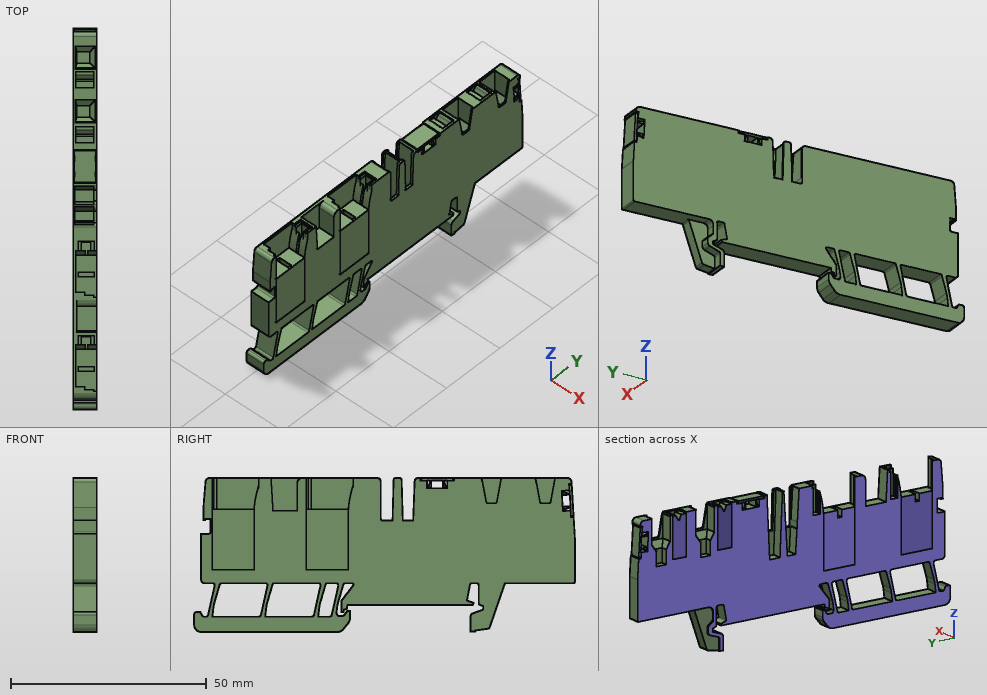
import cadquery as cq
import math


WIDTH = 6.05
HEIGHT = 39.45
BODY_BOTTOM = 12.5
SEAT_BOTTOM = 6.92
WALL = 0.6
REAR_END = 48.59
REAR_TOP = 47.68
REAR_BEND = 24.0
FRONT_END = -47.0
FOOT_END = -48.79
OVERLAP = 0.3
CORNER = 1.0
END_CORNER = 1.15

SLOT_FLOOR = 28.55
SHAFT_FLOOR = 22.0
SHAFT_X = (0.45, 5.3)
SHAFTS = (((8.25, 3.6), (7.4, 4.35)), ((3.0, -1.6), (1.9, -0.5)))
SLOT_1 = (7.2, 4.6)
SLOT_2 = (1.93, -1.04)
POST_TOP = (4.3, 2.2)
POST_ROUND = 0.65
SLOT_1_TOP = 7.6

BEAM_TOP = 4.0
BEAM_REAR = -8.88
FIN_TOPS = (-10.5, -15.05, -28.6, -42.1)
FIN_TOP_WIDTH = 1.3
FIN_LOW_WIDTH = 1.2
FIN_LEAN = 2.0
FIN_ROUND = 0.5
FIN_WAIST = (1.6, 7.0, 8.0)

WEB_X = 2.8

WIRE_ENTRY_STARTS = (44.1, 30.35)
ENTRY_LENGTH = 5.6
ENTRY_X = (0.55, 5.65)
ENTRY_FLOOR_X = (0.95, 4.3)
ENTRY_FLOOR_INSET = (1.5, 1.2)
ENTRY_SHAFT_DEPTH = 7.0
ENTRY_FUNNEL_DEPTH = 2.0
ENTRY_HOLE_DEPTH = 4.0
ENTRY_LIP = (0.3, 1.0, 1.6)
ENTRY_NOTCH_X = 5.15
ENTRY_NOTCH_DEPTH = 6.5
ENTRY_NOTCH_ROUND = 0.5
ENTRY_NOTCH_START = 0.6
ENTRY_NOTCH_DRAFT = 1.2

BUTTON_STARTS = (37.55, 23.5)
BUTTON_LENGTH = 4.1
BUTTON_X = (0.6, 5.28)
BUTTON_HEIGHT = 12.0
BUTTON_SUNK = 0.4
GROOVE_START = 0.85
GROOVE_FOOT = 1.9
GROOVE_END = 2.5
GROOVE_DEPTH = 1.6
GROOVE_ROUND = 0.3

LEVER_STARTS = (-9.35, -33.45)
LEVER_LENGTH = 9.5
LEVER_TOP = HEIGHT - 8.0
LEVER_BOTTOM = 16.0
LEVER_STEP_X = (2.93, 5.3)
LEVER_STEP_Y = (0.8, 1.2)
LEVER_SLIT_X = (1.35, 5.4)
LEVER_SLIT_OFFSET = 4.35
LEVER_SLIT_WIDTH = 1.15
LEVER_SLIT_DEPTH = 2.0

RAMP_LENGTH = 1.2
RAMP_TOP = HEIGHT - 2.0
RAMP_BULGE = 0.42
KEYWAY_LENGTH = 2.35
KEYWAY_X = (1.35, 5.4)
KEYWAY_FLOOR_X = (2.05, 4.55)
KEYWAY_SLIT_X = (3.1, 3.75)
KEYWAY_LEDGE = 0.7
KEYWAY_LEDGE_WIDTH = 0.3

BAY = (-21.0, -29.1)
BAY_WALL = 0.95
BAY_FLOOR = 31.0
BAY_ROUND = 1.4
BAY_DRAFT = 0.5

MARKER_LENGTH = 8.5
MARKER_THICKNESS = 0.7
MARKER_CLEARANCE = 0.25
MARKER_X = (0.3, 5.75)
MARKER_TOP_CENTRE = 13.35
MARKER_END_CENTRE = 33.7
WINDOW_LENGTH = 5.1
WINDOW_DEPTH = 2.65
LEG_INSIDE = 1.45
LEG_THICKNESS = 0.45
LEG_BARB = 0.85
LEG_LENGTH = 1.8
END_TILT = math.degrees(math.atan2(REAR_END - REAR_TOP, HEIGHT - REAR_BEND))


def rounded_outline(points):
    """Closed YZ outline through (y, z) or (y, z, radius) points; corners with a radius become arcs."""
    entries = []
    for i, point in enumerate(points):
        corner = cq.Vector(*point[:2])
        if len(point) == 2:
            entries.append((corner, None, corner))
            continue
        back = (cq.Vector(*points[i - 1][:2]) - corner).normalized()
        ahead = (cq.Vector(*points[(i + 1) % len(points)][:2]) - corner).normalized()
        half_angle = back.getAngle(ahead) / 2
        reach = point[2] / math.tan(half_angle)
        to_arc = point[2] / math.sin(half_angle) - point[2]
        middle = corner + (back + ahead).normalized() * to_arc
        entries.append((corner + back * reach, middle, corner + ahead * reach))
    outline = cq.Workplane("YZ").moveTo(*entries[0][2].toTuple()[:2])
    for start, middle, end in entries[1:] + entries[:1]:
        outline = outline.lineTo(start.x, start.y)
        if middle is not None:
            outline = outline.threePointArc(middle.toTuple()[:2], end.toTuple()[:2])
    return outline.close()


def plate(points, x_from=0.0, x_to=WIDTH):
    """A YZ outline extruded from x_from to x_to."""
    return rounded_outline(points).extrude(x_to - x_from).translate((x_from, 0, 0))


def block(x_range, y_range, z_range):
    """A box between pairs of limits, given in any order."""
    lows = [min(r) for r in (x_range, y_range, z_range)]
    sizes = [abs(r[1] - r[0]) for r in (x_range, y_range, z_range)]
    return cq.Workplane("XY").box(*sizes, centered=False).translate(tuple(lows))


def place_top_marker(shape):
    return shape.translate((0, MARKER_TOP_CENTRE, HEIGHT))


def place_end_marker(shape):
    """Turn a shape from lying on the top to lying on the slanted +Y end face."""
    slope = (REAR_END - REAR_TOP) / (HEIGHT - REAR_BEND)
    face_y = REAR_END - (MARKER_END_CENTRE - REAR_BEND) * slope
    turned = shape.rotate((0, 0, 0), (1, 0, 0), END_TILT - 90)
    return turned.translate((0, face_y, MARKER_END_CENTRE))


def main_body():
    return plate([
        (REAR_END, BODY_BOTTOM, 0.4), (REAR_END, REAR_BEND), (REAR_TOP, HEIGHT, END_CORNER),
        (SLOT_1_TOP, HEIGHT, CORNER), (SLOT_1[0], SLOT_FLOOR), (SLOT_1[1], SLOT_FLOOR),
        (POST_TOP[0], HEIGHT, POST_ROUND), (POST_TOP[1], HEIGHT, POST_ROUND),
        (SLOT_2[0], SLOT_FLOOR), (SLOT_2[1], SLOT_FLOOR, 0.5), (SLOT_2[1], HEIGHT, CORNER),
        (-45.8, HEIGHT, END_CORNER), (-46.4, 31.95), (-46.4, 28.6), (-45.85, 28.6), (-45.85, 28.9),
        (-44.6, 28.9), (-44.6, 25.15, 0.5), (FRONT_END, 25.15), (FRONT_END, BODY_BOTTOM, 0.9),
        (-7.7, BODY_BOTTOM, 0.35), (-11.15, 8.0, 0.5), (-11.15, 5.1), (-10.5, 5.1), (-10.5, 5.75),
        (-9.7, 5.9), (-9.55, SEAT_BOTTOM), (22.46, SEAT_BOTTOM), (22.7, 7.5), (21.0, 8.1, 0.2),
        (21.85, BODY_BOTTOM, 0.5),
    ])


def spring_foot():
    """S-shaped strip that snaps behind the rail, stiffened by a web towards the +X side."""
    root = BODY_BOTTOM + OVERLAP
    strip = plate([
        (23.0, root), (23.0, BODY_BOTTOM), (23.94, BODY_BOTTOM, 0.5), (23.94, 7.1, 0.4),
        (25.13, 6.6, 0.3), (25.13, 5.8, 0.3), (21.83, 4.6, 1.1), (21.83, 0.15), (23.1, 0.15),
        (23.1, 3.9, 0.4), (26.7, 5.2, 1.0), (26.7, 7.4, 0.5), (25.05, 8.7, 0.5),
        (25.05, BODY_BOTTOM, 1.4), (28.0, BODY_BOTTOM), (28.0, root),
    ])
    web = plate([
        (31.3, root), (31.3, BODY_BOTTOM), (30.7, BODY_BOTTOM, 0.4), (26.7, 0.9, 0.8), (22.5, 0.3),
        (22.5, 4.4), (26.0, 5.6), (26.0, 7.0), (24.5, 8.5), (24.5, root),
    ], WEB_X)
    return strip.union(web)


def beam():
    return plate([
        (BEAM_REAR, 5.46), (-9.62, 5.46), (-10.5, 4.2, 0.3), (-12.0, 4.2, 0.3), (-12.6, 5.3),
        (-13.2, 5.3), (-13.5, BEAM_TOP), (-45.1, BEAM_TOP), (-45.9, 3.7, 0.3), (-46.6, 4.1, 0.3),
        (-47.2, 5.2, 0.3), (FOOT_END, 5.2, 0.7), (FOOT_END, 0.0, 1.95), (-11.2, 0.0, 2.2),
        (BEAM_REAR, 2.9, 2.2),
    ])


def fin(top):
    """One slanted fin; top is the Y of its +Y face at the underside of the body."""
    root = BODY_BOTTOM + OVERLAP
    front = top - FIN_TOP_WIDTH
    flare = FIN_ROUND * 2
    low = top - FIN_LEAN
    foot = BEAM_TOP - OVERLAP
    waist_back, waist_height, waist_radius = FIN_WAIST
    low_front = low - FIN_LOW_WIDTH
    low_flare = low_front - FIN_ROUND * 2
    return plate([
        (top + flare, root), (top + flare, BODY_BOTTOM), (top, BODY_BOTTOM, FIN_ROUND),
        (top - waist_back, waist_height, waist_radius), (low, foot),
        (low_flare, foot), (low_flare, BEAM_TOP), (low_front, BEAM_TOP, FIN_ROUND),
        (front, BODY_BOTTOM, FIN_ROUND),
        (front - flare, BODY_BOTTOM), (front - flare, root),
    ])


def jumper_shaft(top_sides, floor_sides):
    """Tapered shaft that widens and deepens a jumper slot between its side walls."""
    return plate([
        (top_sides[0], HEIGHT), (floor_sides[0], SHAFT_FLOOR),
        (floor_sides[1], SHAFT_FLOOR), (top_sides[1], HEIGHT),
    ], *SHAFT_X)


def wire_entry(start):
    """Shaft and funnel down to a hole, with a drafted notch in the +X wall and a sloped lip."""
    end = start - ENTRY_LENGTH
    floor_start = start - ENTRY_FLOOR_INSET[0]
    floor_end = end + ENTRY_FLOOR_INSET[1]

    def rectangle(x_range, y_start, y_end, height):
        return cq.Wire.makePolygon([
            cq.Vector(x_range[0], y_start, height), cq.Vector(x_range[1], y_start, height),
            cq.Vector(x_range[1], y_end, height), cq.Vector(x_range[0], y_end, height),
        ], close=True)

    funnel_top = HEIGHT - ENTRY_SHAFT_DEPTH
    funnel_bottom = funnel_top - ENTRY_FUNNEL_DEPTH
    shaft = block(ENTRY_X, (start, end), (funnel_top, HEIGHT))
    mouth = rectangle(ENTRY_X, start, end, funnel_top)
    throat = rectangle(ENTRY_FLOOR_X, floor_start, floor_end, funnel_bottom)
    funnel = cq.Workplane(cq.Solid.makeLoft([mouth, throat], True))
    hole_z = (funnel_bottom - ENTRY_HOLE_DEPTH, funnel_bottom)
    hole = block(ENTRY_FLOOR_X, (floor_start, floor_end), hole_z)
    notch_start = start - ENTRY_NOTCH_START
    notch_floor = HEIGHT - ENTRY_NOTCH_DEPTH
    notch = plate([
        (notch_start, HEIGHT), (end, HEIGHT), (end + ENTRY_NOTCH_DRAFT, notch_floor, ENTRY_NOTCH_ROUND),
        (notch_start - ENTRY_NOTCH_DRAFT, notch_floor, ENTRY_NOTCH_ROUND),
    ], ENTRY_NOTCH_X)
    lip_out, lip_in, lip_drop = ENTRY_LIP
    lip = plate([
        (end - lip_out, HEIGHT), (end + lip_in, HEIGHT), (end + lip_in, HEIGHT - lip_drop),
    ], ENTRY_X[0])
    return shaft.union(funnel).union(hole).union(notch).union(lip)


def button_shaft(start):
    return block(BUTTON_X, (start, start - BUTTON_LENGTH), (HEIGHT - BUTTON_HEIGHT, HEIGHT))


def lever_footprint(start):
    """Plan outline of a lever, with the stepped -Y end."""
    end = start - LEVER_LENGTH
    return cq.Workplane("XY").polyline([
        (WALL, start), (WIDTH, start), (WIDTH, end - LEVER_STEP_Y[1]),
        (LEVER_STEP_X[1], end - LEVER_STEP_Y[1]), (LEVER_STEP_X[1], end - LEVER_STEP_Y[0]),
        (LEVER_STEP_X[0], end - LEVER_STEP_Y[0]), (LEVER_STEP_X[0], end), (WALL, end),
    ]).close()


def lever_pocket(start):
    """Pocket for a lever, open at the top and at +X, with a ramp and a stepped keyway at its +Y end."""
    pocket = lever_footprint(start).extrude(HEIGHT - LEVER_BOTTOM).translate((0, 0, LEVER_BOTTOM))
    ramp_start = start + RAMP_LENGTH
    bulge = (start + RAMP_BULGE, (RAMP_TOP + LEVER_TOP) / 2)
    ramp = (
        cq.Workplane("YZ").moveTo(start, HEIGHT).lineTo(ramp_start, HEIGHT)
        .lineTo(ramp_start, RAMP_TOP).threePointArc(bulge, (start, LEVER_TOP)).close()
        .extrude(WIDTH - WALL).translate((WALL, 0, 0))
    )
    key_y = (ramp_start + KEYWAY_LENGTH, ramp_start)
    ledge = block(KEYWAY_X, key_y, (HEIGHT - KEYWAY_LEDGE, HEIGHT))
    floor_y = (key_y[0] - KEYWAY_LEDGE_WIDTH, ramp_start)
    keyway = block(KEYWAY_FLOOR_X, floor_y, (LEVER_TOP, HEIGHT))
    slit = block(KEYWAY_SLIT_X, (ramp_start, start), (LEVER_TOP, HEIGHT))
    return pocket.union(ramp).union(ledge).union(keyway).union(slit)


def middle_bay():
    """Bay open at the top and at +X, with a rounded rim at its +Y side."""
    rear, front = BAY
    wall = rear - BAY_ROUND
    arc_drop = BAY_ROUND * (1 - math.sqrt(0.5))
    return (
        cq.Workplane("YZ").moveTo(rear, HEIGHT)
        .threePointArc((wall + arc_drop, HEIGHT - arc_drop), (wall, HEIGHT - BAY_ROUND))
        .lineTo(wall, BAY_FLOOR).lineTo(front + BAY_DRAFT, BAY_FLOOR).lineTo(front, HEIGHT).close()
        .extrude(WIDTH - BAY_WALL).translate((BAY_WALL, 0, 0))
    )


def marker_seat():
    """Recess for a marker plate, and the window across the housing for its legs."""
    recess = block((0, WIDTH), (-MARKER_LENGTH / 2, MARKER_LENGTH / 2), (-MARKER_THICKNESS, 1))
    window = block((0, WIDTH), (-WINDOW_LENGTH / 2, WINDOW_LENGTH / 2), (-WINDOW_DEPTH, 0))
    return recess.union(window)


def make_housing():
    body = main_body().union(spring_foot()).union(beam())
    for top in FIN_TOPS:
        body = body.union(fin(top))
    for top_sides, floor_sides in SHAFTS:
        body = body.cut(jumper_shaft(top_sides, floor_sides))
    for start in WIRE_ENTRY_STARTS:
        body = body.cut(wire_entry(start))
    for start in BUTTON_STARTS:
        body = body.cut(button_shaft(start))
    for start in LEVER_STARTS:
        body = body.cut(lever_pocket(start))
    body = body.cut(middle_bay())
    body = body.cut(place_top_marker(marker_seat()))
    return body.cut(place_end_marker(marker_seat()))


def make_button(start):
    """Button filling its shaft, with a screwdriver groove across its sunk top."""
    top = HEIGHT - BUTTON_SUNK
    bottom = HEIGHT - BUTTON_HEIGHT
    end = start - BUTTON_LENGTH
    return plate([
        (start, bottom), (start, top), (start - GROOVE_START, top, GROOVE_ROUND),
        (start - GROOVE_FOOT, top - GROOVE_DEPTH), (start - GROOVE_END, top), (end, top),
        (end, bottom),
    ], *BUTTON_X)


def make_lever(start):
    """Lever filling the lower part of its pocket, with a slit in its top."""
    lever = lever_footprint(start).extrude(LEVER_TOP - LEVER_BOTTOM).translate((0, 0, LEVER_BOTTOM))
    slit_y = start - LEVER_SLIT_OFFSET
    slit = block(
        LEVER_SLIT_X, (slit_y, slit_y - LEVER_SLIT_WIDTH), (LEVER_TOP - LEVER_SLIT_DEPTH, LEVER_TOP)
    )
    return lever.cut(slit)


def make_marker():
    """Marker plate with its top at Z = 0 and two barbed legs below."""
    half = MARKER_LENGTH / 2 - MARKER_CLEARANCE
    marker = block(MARKER_X, (-half, half), (-MARKER_THICKNESS, 0))
    outside = LEG_INSIDE + LEG_THICKNESS
    leg_bottom = -MARKER_THICKNESS - LEG_LENGTH
    for side in (1, -1):
        leg = plate([
            (side * LEG_INSIDE, -MARKER_THICKNESS), (side * outside, -MARKER_THICKNESS),
            (side * outside, leg_bottom / 2), (side * (LEG_INSIDE + LEG_BARB), leg_bottom),
            (side * LEG_INSIDE, leg_bottom),
        ], *MARKER_X)
        marker = marker.union(leg)
    return marker


housing = make_housing()
buttons = [make_button(start) for start in BUTTON_STARTS]
levers = [make_lever(start) for start in LEVER_STARTS]
markers = [place_top_marker(make_marker()), place_end_marker(make_marker())]

bodies = [housing, *buttons, *levers, *markers]
result = cq.Compound.makeCompound([solid for body in bodies for solid in body.solids().vals()])